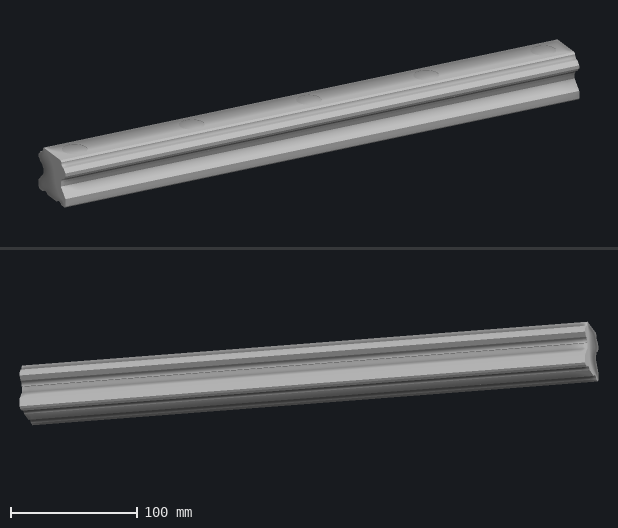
import cadquery as cq
import math

length = 460.0
width = 45.0
height = 38.0
half_width = width / 2

base_chamfer = 1.5
side_top = 8.0

waist_half_width = 14.5
waist_bottom = side_top + half_width - waist_half_width

band_middle = 28.5
band_height = 2.8

race_outer_half_width = 19.5
race_inner_half_width = 15.5
race_sag = 1.15

groove_offset = 11.5
groove_width = 8.5
groove_depth = 2.0

cap_count = 5
cap_diameter = 20.2
cap_pitch = 105.0
cap_recess = 0.25


def flank_drop(half_x):
    """Distance of a flank point above or below the band middle, at a given half width."""
    return band_height / 2 + half_width - half_x


def race_middle(side, direction):
    """Deepest point of a ball race; direction is +1 above the band and -1 below it."""
    chord_x = (race_outer_half_width + race_inner_half_width) / 2
    inset = race_sag * math.sqrt(0.5)
    z = band_middle + direction * (flank_drop(chord_x) - inset)
    return side * (chord_x - inset), z


def half_section(side):
    """Closed outline of one half of the rail section, side +1 or -1."""
    outer_drop = flank_drop(race_outer_half_width)
    inner_drop = flank_drop(race_inner_half_width)
    head_top_half_width = half_width + band_height / 2 - (height - band_middle)

    def point(x, z):
        return side * x, z

    groove_inner = groove_offset - groove_width / 2
    groove_outer = groove_offset + groove_width / 2
    race_bottom = band_middle - inner_drop
    return (
        cq.Workplane("XZ")
        .moveTo(0, 0)
        .lineTo(*point(groove_inner, 0))
        .threePointArc(point(groove_offset, groove_depth), point(groove_outer, 0))
        .lineTo(*point(half_width - base_chamfer, 0))
        .lineTo(*point(half_width, base_chamfer))
        .lineTo(*point(half_width, side_top))
        .lineTo(*point(waist_half_width, waist_bottom))
        .lineTo(*point(waist_half_width, race_bottom))
        .lineTo(*point(race_inner_half_width, race_bottom))
        .threePointArc(
            race_middle(side, -1), point(race_outer_half_width, band_middle - outer_drop)
        )
        .lineTo(*point(half_width, band_middle - band_height / 2))
        .lineTo(*point(half_width, band_middle + band_height / 2))
        .lineTo(*point(race_outer_half_width, band_middle + outer_drop))
        .threePointArc(
            race_middle(side, 1), point(race_inner_half_width, band_middle + inner_drop)
        )
        .lineTo(*point(head_top_half_width, height))
        .lineTo(0, height)
        .close()
    )


def cap_recesses():
    """Shallow discs below the top face, one per mounting hole, centred along the rail."""
    return (
        cq.Workplane("XY")
        .workplane(offset=height - cap_recess)
        .rarray(4.5, cap_pitch, 1, cap_count)
        .circle(cap_diameter / 2)
        .extrude(cap_recess)
    )


right_half = half_section(1).extrude(length / 2, both=True)
left_half = half_section(-1).extrude(length / 2, both=True)

result = right_half.union(left_half).cut(cap_recesses())